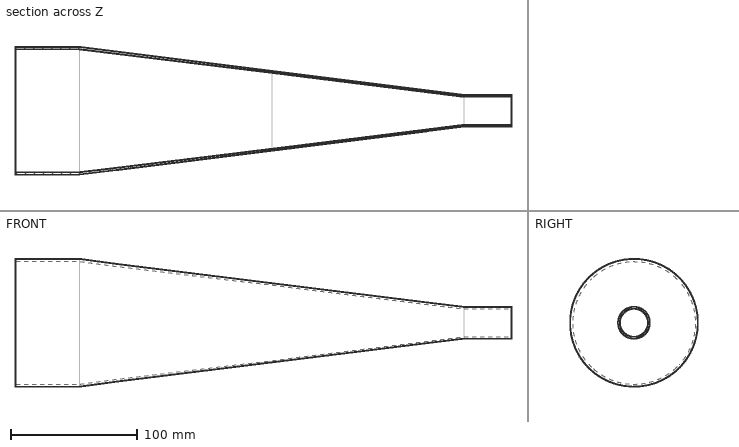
import cadquery as cq

overall_length = 393.7
large_end_length = 50.8
small_end_length = 38.1

large_outer_radius = 101.6 / 2
large_inner_radius = 97.38 / 2
small_outer_radius = 25.4 / 2
small_inner_radius = 22.1 / 2
small_wall = small_outer_radius - small_inner_radius

cone_start = large_end_length
cone_end = overall_length - small_end_length
cone_middle = (cone_start + cone_end) / 2
middle_outer_radius = (large_outer_radius + small_outer_radius) / 2
middle_inner_radius = middle_outer_radius - small_wall


def revolve_about_x(profile_points):
    """Revolve a closed (x, radius) profile a full turn about the X axis."""
    profile = cq.Workplane("XY").polyline(profile_points).close()
    return profile.revolve(360, (0, 0, 0), (1, 0, 0))


def outer_body():
    """Large cylinder, cone and small cylinder as one solid."""
    return revolve_about_x([
        (0, 0),
        (0, large_outer_radius),
        (cone_start, large_outer_radius),
        (cone_end, small_outer_radius),
        (overall_length, small_outer_radius),
        (overall_length, 0),
    ])


def bore():
    """Through passage that follows the outside, in two conical stretches."""
    return revolve_about_x([
        (0, 0),
        (0, large_inner_radius),
        (cone_start, large_inner_radius),
        (cone_middle, middle_inner_radius),
        (cone_end, small_inner_radius),
        (overall_length, small_inner_radius),
        (overall_length, 0),
    ])


result = outer_body().cut(bore())